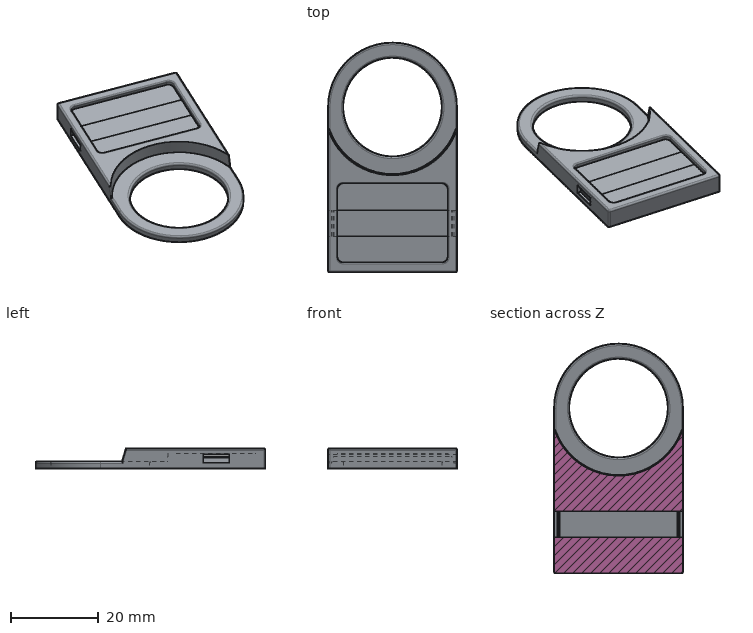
import cadquery as cq
import math

width = 29.5
length = 52.5
block_height = 4.6
ring_height = 1.7
edge_radius = 0.4
outer_radius = width / 2
front_y = outer_radius - length

hole_radius = 11.25
hole_rim_radius = 0.45

step_base_radius = 15.3
step_top_radius = 15.6
step_end_radius = 0.185
step_end_reach = 1.6

pocket_width = 25.15
pocket_length = 18.0
pocket_front_margin = 2.3
pocket_depth = 1.15
pocket_corner_radius = 1.25
pocket_rim_radius = 0.3
pocket_center_y = front_y + pocket_front_margin + pocket_length / 2

slot_length = 5.9
slot_height = 1.95
slot_bottom = 1.3
slot_center_y = -26.5
ridge_height = 1.45
ridge_inset = 0.8
ridge_lean = 0.3
ridge_chamfer = 0.25

rim_tolerance = 0.05


def make_plate(height):
    """Plate with a round back end, square front corners and a rounded top edge."""
    plate = (
        cq.Workplane("XY")
        .moveTo(-outer_radius, front_y)
        .lineTo(outer_radius, front_y)
        .lineTo(outer_radius, 0)
        .threePointArc((0, outer_radius), (-outer_radius, 0))
        .close()
        .extrude(height)
    )
    plate = plate.edges("|Z and <Y").fillet(edge_radius)
    return plate.faces(">Z").edges().fillet(edge_radius)


def make_step_cutter():
    """Cone that widens upward and clears the space above the ring."""
    cutter_height = block_height - ring_height
    return (
        cq.Workplane("XY", origin=(0, 0, ring_height))
        .circle(step_base_radius)
        .workplane(offset=cutter_height)
        .circle(step_top_radius)
        .loft()
    )


def make_pocket():
    return (
        cq.Workplane("XY", origin=(0, pocket_center_y, block_height - pocket_depth))
        .rect(pocket_width, pocket_length)
        .extrude(pocket_depth)
        .edges("|Z")
        .fillet(pocket_corner_radius)
    )


def make_slot():
    """Straight slot across the part, less the tapered ridge left on its floor."""
    opening = cq.Workplane("XY", origin=(0, slot_center_y, slot_bottom)).box(
        width, slot_length, slot_height, centered=(True, True, False)
    )
    base_half = outer_radius - ridge_inset
    shoulder_half = base_half - ridge_lean
    top_half = shoulder_half - ridge_chamfer
    shoulder_height = ridge_height - ridge_chamfer
    ridge = (
        cq.Workplane("XZ", origin=(0, slot_center_y, slot_bottom))
        .polyline([
            (-base_half, 0),
            (-shoulder_half, shoulder_height),
            (-top_half, ridge_height),
            (top_half, ridge_height),
            (shoulder_half, shoulder_height),
            (base_half, 0),
        ])
        .close()
        .extrude(slot_length / 2, both=True)
    )
    return opening.cut(ridge)


def make_block():
    """Raised block behind the step, with its thin step ends rounded off."""
    clearance = make_step_cutter().union(
        cq.Workplane("XY").circle(step_base_radius).extrude(ring_height)
    ).union(
        cq.Workplane("XY").rect(2 * width, 2 * width).extrude(block_height)
        .translate((0, width, 0))
    )
    slab = (
        cq.Workplane("XY", origin=(0, front_y / 2, 0))
        .box(width, -front_y, block_height, centered=(True, True, False))
        .edges("|Z and <Y")
        .fillet(edge_radius)
    )
    block = slab.cut(clearance)
    end_y = -math.sqrt(step_base_radius**2 - outer_radius**2)
    step_ends = cq.selectors.BoxSelector(
        (-width, end_y - step_end_reach, 0), (width, end_y + step_end_reach, block_height)
    )
    level_edges = cq.selectors.StringSyntaxSelector("#Z")
    block = block.edges(step_ends - level_edges).fillet(step_end_radius)
    return block.intersect(make_plate(block_height))


def round_rim(body, center_y, rim_width, rim_length, height, radius):
    """Round the upper rim of an opening that is cut into a flat face."""
    reach_x = rim_width / 2 + rim_tolerance
    reach_y = rim_length / 2 + rim_tolerance
    rim_box = cq.selectors.BoxSelector(
        (-reach_x, center_y - reach_y, height - rim_tolerance),
        (reach_x, center_y + reach_y, height + rim_tolerance),
        boundingbox=True,
    )
    return body.edges(rim_box).fillet(radius)


hole = cq.Workplane("XY").circle(hole_radius).extrude(ring_height)
ring = make_plate(ring_height).cut(hole)
ring = round_rim(ring, 0, 2 * hole_radius, 2 * hole_radius, ring_height, hole_rim_radius)

block = make_block().cut(make_pocket())
block = round_rim(
    block, pocket_center_y, pocket_width, pocket_length, block_height, pocket_rim_radius
)

result = ring.union(block).cut(make_slot())